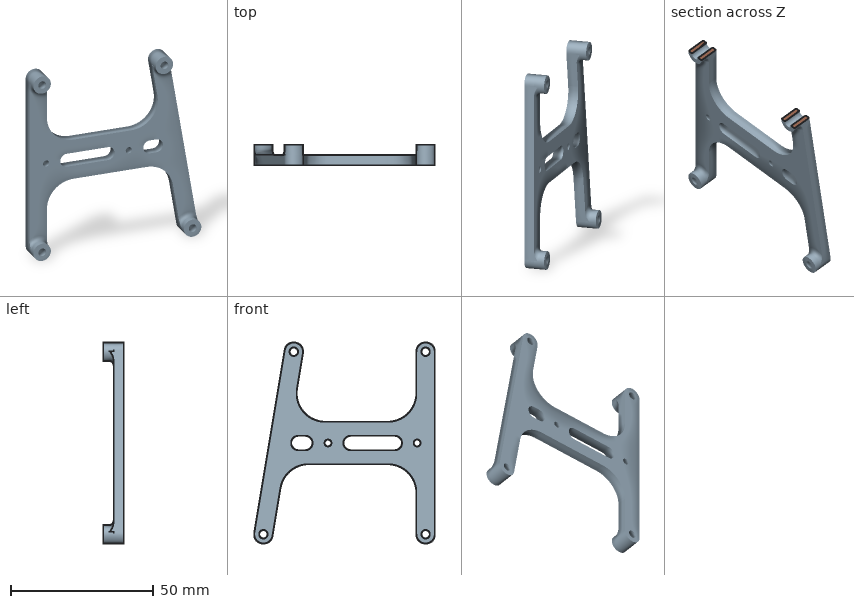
import cadquery as cq
import math

overall_width = 63.7
overall_height = 70.85
overall_depth = 7.4
plate_thickness = 3.7

end_diameter = 6.6
end_radius = end_diameter / 2
end_hole_diameter = 2.9
flare_radius = 1.5
flare_start = 0.35
upper_hole_spacing = 46.4

bar_height = 15.0
corner_radius = 10.0

slot_height = 4.95
short_slot_length = 7.45
short_slot_offset = 43.6
long_slot_length = 20.55
long_slot_offset = 18.65
small_hole_diameter = 2.35
small_hole_offsets = (3.0, 34.4)

right_x = overall_width / 2 - end_radius
lower_left_x = -right_x
upper_left_x = right_x - upper_hole_spacing
end_z = overall_height / 2 - end_radius
left_ends = [(lower_left_x, -end_z), (upper_left_x, end_z)]
right_ends = [(right_x, -end_z), (right_x, end_z)]
arm_ends = left_ends + right_ends


def front_plane():
    """XZ workplane on the front face, with its negative normal along +Y."""
    return cq.Workplane("XZ")


def make_arm(lower, upper):
    """Round-ended bar between two hole axes."""
    run = upper[0] - lower[0]
    rise = upper[1] - lower[1]
    length = math.hypot(run, rise) + end_diameter
    angle = math.degrees(math.atan2(rise, run))
    middle = ((lower[0] + upper[0]) / 2, (lower[1] + upper[1]) / 2)
    return front_plane().center(*middle).slot2D(length, end_diameter, angle).extrude(-plate_thickness)


def make_plate():
    """Two arms joined by a crossbar with rounded inside corners."""
    left_axis_x = (lower_left_x + upper_left_x) / 2
    bar = (
        front_plane()
        .center((left_axis_x + right_x) / 2, 0)
        .rect(right_x - left_axis_x, bar_height)
        .extrude(-plate_thickness)
    )
    plate = make_arm(*left_ends).union(bar)
    plate = plate.union(make_arm(*right_ends))
    inside_corners = plate.edges("|Y").edges(
        cq.selectors.BoxSelector(
            (-overall_width, -overall_depth, -bar_height),
            (overall_width, overall_depth, bar_height),
        )
    )
    return inside_corners.fillet(corner_radius)


def make_flare(end, other_end):
    """Concave round between a standoff and its plate, cut flush with the arm sides."""
    flare_outer = end_radius + flare_radius
    diagonal = flare_radius * (1 - math.sqrt(0.5))
    collar = (
        cq.Workplane("XY")
        .moveTo(0, plate_thickness)
        .lineTo(flare_outer, plate_thickness)
        .threePointArc(
            (end_radius + diagonal, plate_thickness + diagonal),
            (end_radius, plate_thickness + flare_radius),
        )
        .lineTo(0, plate_thickness + flare_radius)
        .close()
        .revolve(360, (0, 0, 0), (0, 1, 0))
    )
    arm_strip = cq.Workplane("XY").box(
        end_diameter, overall_depth, flare_outer, centered=(True, False, False)
    ).translate((0, 0, flare_start))
    angle = math.degrees(math.atan2(other_end[0] - end[0], other_end[1] - end[1]))
    flare = collar.intersect(arm_strip).rotate((0, 0, 0), (0, 1, 0), angle)
    return flare.translate((end[0], 0, end[1]))


def cut_slot(body, offset, length):
    """Round-ended opening through the crossbar."""
    cutter = front_plane().center(right_x - offset, 0).slot2D(length, slot_height)
    return body.cut(cutter.extrude(-plate_thickness))


result = make_plate()

standoff_base = front_plane().workplane(offset=-plate_thickness).pushPoints(arm_ends)
standoffs = standoff_base.circle(end_radius).extrude(plate_thickness - overall_depth)
result = result.union(standoffs)
for lower, upper in (left_ends, right_ends):
    result = result.union(make_flare(lower, upper))
    result = result.union(make_flare(upper, lower))

end_holes = front_plane().pushPoints(arm_ends).circle(end_hole_diameter / 2)
result = result.cut(end_holes.extrude(-overall_depth))

small_hole_points = [(right_x - offset, 0) for offset in small_hole_offsets]
small_holes = front_plane().pushPoints(small_hole_points).circle(small_hole_diameter / 2)
result = result.cut(small_holes.extrude(-plate_thickness))

result = cut_slot(result, short_slot_offset, short_slot_length)
result = cut_slot(result, long_slot_offset, long_slot_length)